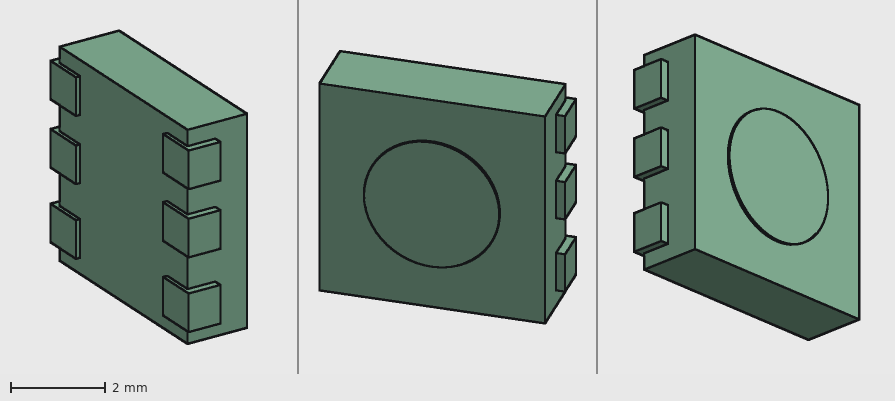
import cadquery as cq

body_side = 5.0
body_thickness = 1.5

overall_width = 5.4
pad_length = 1.0
pad_height = 0.9
pad_thickness = 0.1
clip_depth = 0.8
pad_centers_z = (-1.67, 0.075, 1.67)

disc_diameter = 3.0
disc_height = 0.05

front_y = -body_thickness / 2
back_y = body_thickness / 2
pad_front_y = front_y - pad_thickness


def make_body():
    return cq.Workplane("XY").box(body_side, body_thickness, body_side)


def make_terminal(side, center_z):
    """L-shaped clip on the +X (side = 1) or -X (side = -1) edge."""
    outer_x = side * overall_width / 2
    body_x = side * body_side / 2
    inner_x = outer_x - side * pad_length
    return (
        cq.Workplane("XY", origin=(0, 0, center_z))
        .moveTo(inner_x, pad_front_y)
        .lineTo(outer_x, pad_front_y)
        .lineTo(outer_x, pad_front_y + clip_depth)
        .lineTo(body_x, pad_front_y + clip_depth)
        .lineTo(body_x, front_y)
        .lineTo(inner_x, front_y)
        .close()
        .extrude(pad_height / 2, both=True)
    )


def make_disc():
    """Round disc standing on the +Y face, centred on it."""
    return (
        cq.Workplane("XZ", origin=(0, back_y, 0))
        .circle(disc_diameter / 2)
        .extrude(-disc_height)
    )


result = make_body().union(make_disc())
for side in (-1, 1):
    for center_z in pad_centers_z:
        result = result.union(make_terminal(side, center_z))